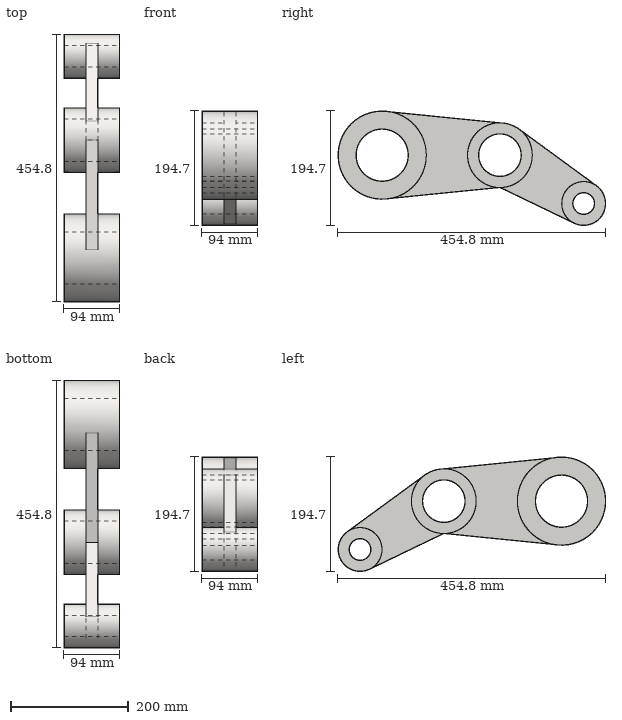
import cadquery as cq
import math

total_length = 454.8
hub_width = 94.0
web_thickness = 20.5

large_radius = 75.0
large_bore = 44.0
middle_radius = 55.0
middle_bore = 36.0
small_radius = 37.5
small_bore = 18.0

large_spacing = 200.0
large_contact_offset = 14.5
drop_angle = math.radians(30)
small_y = total_length - large_radius - large_spacing - small_radius
small_z = -small_y * math.tan(drop_angle)

large_center = (-large_spacing, 0.0)
middle_center = (0.0, 0.0)
small_center = (small_y, small_z)

hubs = [
    (large_center, large_radius, large_bore),
    (middle_center, middle_radius, middle_bore),
    (small_center, small_radius, small_bore),
]


def cylinder(center, radius):
    """Cylinder along X, spanning the full hub width."""
    profile = cq.Workplane("YZ", origin=(-hub_width / 2, 0, 0)).center(*center).circle(radius)
    return profile.extrude(hub_width)


def web(outline):
    """Flat plate with the given YZ outline, midway along the hubs."""
    profile = cq.Workplane("YZ", origin=(-web_thickness / 2, 0, 0)).polyline(outline).close()
    return profile.extrude(web_thickness)


def point_on_circle(center, radius, angle):
    return (center[0] + radius * math.cos(angle), center[1] + radius * math.sin(angle))


large_web_y = large_contact_offset - large_spacing
large_web_z = math.sqrt(large_radius**2 - large_contact_offset**2)
large_web = web([
    (0, middle_radius),
    (large_web_y, large_web_z),
    (large_web_y, -large_web_z),
    (0, -middle_radius),
])

arm_length = math.hypot(small_y, small_z)
upper_angle = math.acos((middle_radius - small_radius) / arm_length) - drop_angle

middle_bottom = (0, -middle_radius)
bottom_dy = middle_bottom[0] - small_y
bottom_dz = middle_bottom[1] - small_z
bottom_distance = math.hypot(bottom_dy, bottom_dz)
lower_angle = math.atan2(bottom_dz, bottom_dy) + math.acos(small_radius / bottom_distance)

small_web = web([
    middle_bottom,
    middle_center,
    point_on_circle(middle_center, middle_radius, upper_angle),
    point_on_circle(small_center, small_radius, upper_angle),
    point_on_circle(small_center, small_radius, lower_angle),
])

result = large_web.union(small_web)

for hub_center, outer_radius, _ in hubs:
    result = result.union(cylinder(hub_center, outer_radius))

for hub_center, _, bore_radius in hubs:
    result = result.cut(cylinder(hub_center, bore_radius))